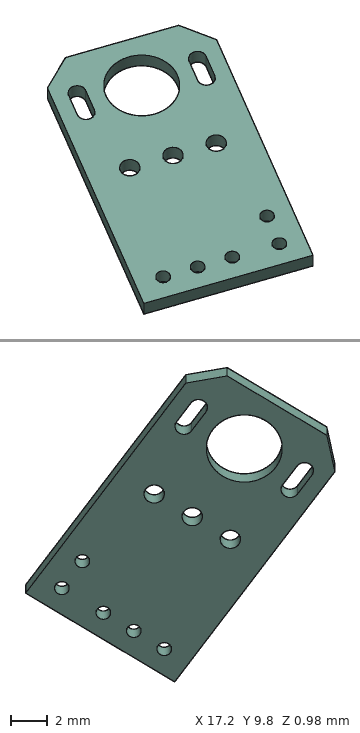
import cadquery as cq

LENGTH = 17.25
WIDTH = 9.8
THICKNESS = 0.98
CORNER_CHAMFER = 1.62

BORE_DIAMETER = 4.14
BORE_X = -5.43
SLOT_LENGTH = 2.38
SLOT_WIDTH = 0.98
SLOT_OFFSET_Y = 3.48

MEDIUM_DIAMETER = 1.1
MEDIUM_X = -0.36
MEDIUM_PITCH = 2.5

SMALL_DIAMETER = 0.8
SMALL_PITCH = 2.0
SMALL_X = LENGTH / 2 - 1.36
SMALL_PAIR_Y = 3.43
SMALL_ROW_MIDDLE_Y = -1.3


def make_plate():
    """Flat plate with both corners of its -X end cut off."""
    plate = cq.Workplane("XY").box(LENGTH, WIDTH, THICKNESS, centered=(True, True, False))
    return plate.edges("|Z and <X").chamfer(CORNER_CHAMFER)


def cut_holes(body, points, diameter):
    """Drill a through hole at each (x, y) point."""
    cutters = cq.Workplane("XY").pushPoints(points).circle(diameter / 2).extrude(THICKNESS)
    return body.cut(cutters)


def cut_slots(body):
    """Cut the two through slots, lengthwise along X, above and below the bore."""
    points = [(BORE_X, side * SLOT_OFFSET_Y) for side in (-1, 1)]
    cutters = cq.Workplane("XY").pushPoints(points).slot2D(SLOT_LENGTH, SLOT_WIDTH).extrude(THICKNESS)
    return body.cut(cutters)


medium_points = [(MEDIUM_X, step * MEDIUM_PITCH) for step in (-1, 0, 1)]

small_row = [(SMALL_X, SMALL_ROW_MIDDLE_Y + step * SMALL_PITCH) for step in (-1, 0, 1)]
small_pair = [(SMALL_X - step * SMALL_PITCH, SMALL_PAIR_Y) for step in (0, 1)]

result = make_plate()
result = cut_holes(result, [(BORE_X, 0)], BORE_DIAMETER)
result = cut_slots(result)
result = cut_holes(result, medium_points, MEDIUM_DIAMETER)
result = cut_holes(result, small_row + small_pair, SMALL_DIAMETER)